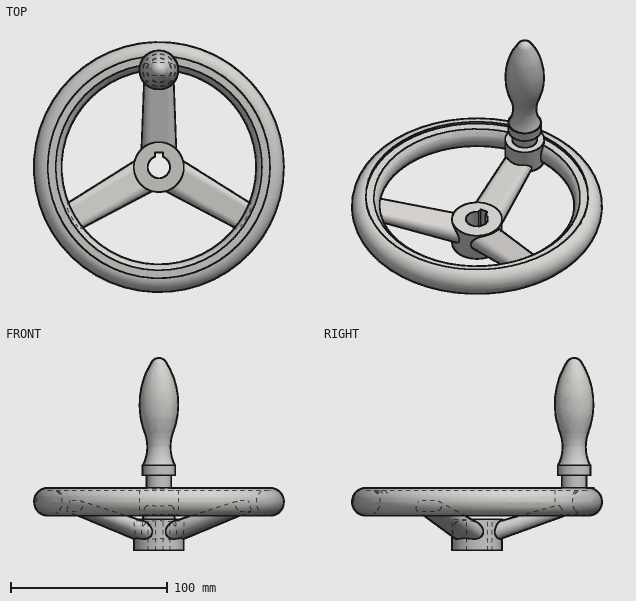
import cadquery as cq
import math

wheel_radius = 80.0
rim_section_radius = 9.0
rim_top = 40.0
rim_center_radius = wheel_radius - rim_section_radius
rim_center_height = rim_top - rim_section_radius
step_depth = 1.6

hub_radius = 16.0
hub_height = 20.0
bore_diameter = 14.0
keyway_width = 5.0
keyway_reach = 9.3

spoke_count = 3
first_spoke_angle = 90
spoke_flat_width = 11.2
spoke_hub_thickness = 12.2
spoke_rim_thickness = 6.7
spoke_hub_height = 8.3

handle_offset = 62.0
boss_radius = 12.5
boss_bottom = 23.0

peg_radius = 8.0
collar_radius = 10.5
collar_bottom = 48.0
collar_top = 54.4
flare_radius = 10.2
neck_radius = 7.5
neck_height = 66.0
grip_start_radius = 9.0
grip_start_height = 74.9
grip_max_radius = 12.5
grip_max_height = 93.3
tip_radius = 4.5
tip_height = 120.6
handle_top = 123.0


def make_rim():
    ring = cq.Workplane("XZ").center(rim_center_radius, rim_center_height).circle(rim_section_radius)
    ring = ring.revolve(360, (-rim_center_radius, 0, 0), (-rim_center_radius, 1, 0))
    step = (
        cq.Workplane("XY")
        .workplane(offset=rim_top - step_depth)
        .circle(rim_center_radius)
        .extrude(step_depth)
    )
    return ring.cut(step)


def make_spoke(angle):
    rise = rim_center_height - spoke_hub_height
    length = math.hypot(rim_center_radius, rise)
    across = cq.Plane(
        origin=(0, 0, spoke_hub_height),
        xDir=(0, 1, 0),
        normal=(rim_center_radius, 0, rise),
    )
    spoke = (
        cq.Workplane(across)
        .slot2D(spoke_flat_width + spoke_hub_thickness, spoke_hub_thickness)
        .workplane(offset=length)
        .slot2D(spoke_flat_width + spoke_rim_thickness, spoke_rim_thickness)
        .loft(ruled=True)
    )
    return spoke.rotate((0, 0, 0), (0, 0, 1), angle)


def make_boss():
    boss = cq.Workplane("XY").workplane(offset=boss_bottom).center(0, handle_offset)
    return boss.circle(boss_radius).extrude(rim_top - boss_bottom)


def waist_arc_radius(end_radius, end_height):
    """Radius of an arc that leaves the neck parallel to the handle axis and meets the given end."""
    sag = end_radius - neck_radius
    span = end_height - neck_height
    return (span**2 + sag**2) / (2 * sag)


def make_handle():
    tip_rise = handle_top - tip_height
    dome_radius = (tip_radius**2 + tip_rise**2) / (2 * tip_rise)
    profile = (
        cq.Workplane("XZ")
        .moveTo(0, boss_bottom)
        .lineTo(peg_radius, boss_bottom)
        .lineTo(peg_radius, collar_bottom)
        .lineTo(collar_radius, collar_bottom)
        .lineTo(collar_radius, collar_top)
        .lineTo(flare_radius, collar_top)
        .radiusArc((neck_radius, neck_height), waist_arc_radius(flare_radius, collar_top))
        .radiusArc(
            (grip_start_radius, grip_start_height),
            waist_arc_radius(grip_start_radius, grip_start_height),
        )
        .threePointArc((grip_max_radius, grip_max_height), (tip_radius, tip_height))
        .radiusArc((0, handle_top), -dome_radius)
        .close()
    )
    return profile.revolve(360, (0, 0, 0), (0, 1, 0)).translate((0, handle_offset, 0))


def make_bore():
    bore = cq.Workplane("XY").circle(bore_diameter / 2).extrude(hub_height)
    keyway = cq.Workplane("XY").center(0, keyway_reach / 2).rect(keyway_width, keyway_reach)
    return bore.union(keyway.extrude(hub_height))


result = cq.Workplane("XY").circle(hub_radius).extrude(hub_height)
for index in range(spoke_count):
    result = result.union(make_spoke(first_spoke_angle + index * 360 / spoke_count))
result = result.union(make_rim())
result = result.union(make_boss())
result = result.union(make_handle())
result = result.cut(make_bore())